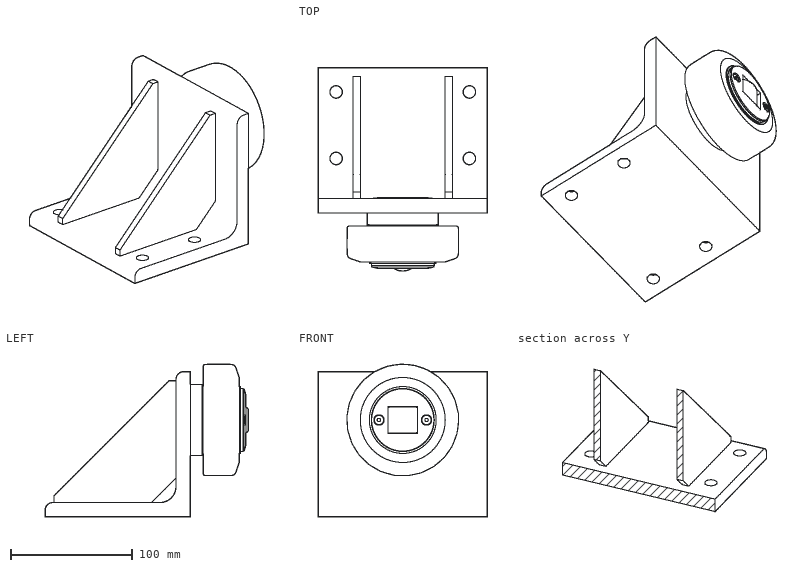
import cadquery as cq
import math

bracket_width = 140.0
leg_length = 120.0
leg_thickness = 12.0
inner_corner_radius = 13.0
leg_tip_radius = 6.5

rib_thickness = 6.0
rib_outer_face = 41.0
rib_end = 112.5
rib_corner = 17.5
rib_inner_relief = 20.0

hole_diameter = 10.0
hole_spacing_x = 110.0
hole_near_y = 45.0
hole_far_y = 100.0

axis_height = 80.0
hub_radius = 59.0 / 2
neck_radius = 55.5 / 2
neck_start = 9.7
roller_back = 10.5
roller_front = 40.5
roller_crown_radius = 46.2
roller_edge_radius = 46.0
tread_start = 12.6
tread_end = 33.6
back_round = tread_start - roller_back
front_round_mid = 36.1
front_round_mid_radius = 45.2
front_round_end = 37.6
front_round_end_radius = 43.5
front_face_radius = 35.1

ring_radius = 55.3 / 2
ring_front = 41.5
cap_radius = 52 / 2
cap_step = 43.3
cap_step_radius = 25.7
cap_bevel_start = 44.5
cap_front = 45.9
cap_face_radius = 21.0

weld_face_radius = 19.8
weld_height = 0.8

window_width = 24.0
window_height = 22.2
window_floor = 34.3
side_roller_tip = 48.0
side_roller_radius = side_roller_tip - window_floor
side_roller_crown = 0.2
side_roller_edge_radius = side_roller_radius - side_roller_crown
side_roller_length = 21.2
side_roller_round = 2.4

screw_offset = 19.7
screw_recess_diameter = 8.5
screw_head_diameter = 7.7
screw_recess_depth = 2.0
screw_head_height = 1.0
screw_socket_diameter = 2.9


def forward_cylinder(x, start, end, diameter):
    """Cylinder along -Y at the roller height, between two forward distances."""
    base = cq.Workplane("XZ", origin=(x, -start, axis_height))
    return base.circle(diameter / 2).extrude(end - start)


def make_bracket():
    profile = (
        cq.Workplane("YZ")
        .moveTo(0, 0)
        .lineTo(leg_length, 0)
        .lineTo(leg_length, leg_thickness)
        .lineTo(leg_thickness, leg_thickness)
        .lineTo(leg_thickness, leg_length)
        .lineTo(0, leg_length)
        .close()
        .extrude(bracket_width / 2, both=True)
    )
    inner_edge = cq.selectors.NearestToPointSelector((0, leg_thickness, leg_thickness))
    bracket = profile.edges(inner_edge).fillet(inner_corner_radius)
    for tip in ((0, leg_length, leg_thickness), (0, leg_thickness, leg_length)):
        bracket = bracket.edges(cq.selectors.NearestToPointSelector(tip)).fillet(leg_tip_radius)
    holes = (
        cq.Workplane("XY")
        .pushPoints([(side * hole_spacing_x / 2, y) for side in (-1, 1) for y in (hole_near_y, hole_far_y)])
        .circle(hole_diameter / 2)
        .extrude(leg_thickness)
    )
    return bracket.cut(holes)


def make_rib(start_x):
    relief_end = leg_thickness + rib_inner_relief
    return (
        cq.Workplane("YZ", origin=(start_x, 0, 0))
        .moveTo(relief_end, leg_thickness)
        .lineTo(rib_end, leg_thickness)
        .lineTo(rib_end, rib_corner)
        .lineTo(rib_corner, rib_end)
        .lineTo(leg_thickness, rib_end)
        .lineTo(leg_thickness, relief_end)
        .close()
        .extrude(rib_thickness)
    )


def make_turned_body():
    back_face_radius = roller_edge_radius - back_round
    arc_offset = back_round * math.sqrt(0.5)
    weld_back = leg_thickness + weld_height
    return (
        cq.Workplane("XY", origin=(0, 0, axis_height))
        .moveTo(0, weld_back)
        .lineTo(weld_face_radius, weld_back)
        .lineTo(cap_radius, leg_thickness)
        .lineTo(cap_radius, 0)
        .lineTo(hub_radius, 0)
        .lineTo(hub_radius, -neck_start)
        .lineTo(neck_radius, -neck_start)
        .lineTo(neck_radius, -roller_back)
        .lineTo(back_face_radius, -roller_back)
        .threePointArc(
            (back_face_radius + arc_offset, -tread_start + arc_offset),
            (roller_edge_radius, -tread_start),
        )
        .threePointArc(
            (roller_crown_radius, -(tread_start + tread_end) / 2),
            (roller_edge_radius, -tread_end),
        )
        .threePointArc(
            (front_round_mid_radius, -front_round_mid),
            (front_round_end_radius, -front_round_end),
        )
        .lineTo(front_face_radius, -roller_front)
        .lineTo(ring_radius, -roller_front)
        .lineTo(ring_radius, -ring_front)
        .lineTo(cap_radius, -ring_front)
        .lineTo(cap_radius, -cap_step)
        .lineTo(cap_step_radius, -cap_step)
        .lineTo(cap_step_radius, -cap_bevel_start)
        .lineTo(cap_face_radius, -cap_front)
        .lineTo(0, -cap_front)
        .close()
        .revolve(360, (0, 0, 0), (0, 1, 0))
    )


def make_window():
    floor = cq.Workplane("XZ", origin=(0, -window_floor, axis_height))
    return floor.rect(window_width, window_height).extrude(side_roller_tip - window_floor)


def make_side_roller():
    half_length = side_roller_length / 2
    roller = (
        cq.Workplane("XZ", origin=(0, -window_floor, axis_height))
        .moveTo(0, -half_length)
        .lineTo(side_roller_edge_radius, -half_length)
        .threePointArc((side_roller_radius, 0), (side_roller_edge_radius, half_length))
        .lineTo(0, half_length)
        .close()
        .revolve(360, (0, 0, 0), (0, 1, 0))
        .faces("<Z or >Z")
        .edges()
        .fillet(side_roller_round)
    )
    return roller.intersect(make_window())


def add_screw(body, x):
    recess_floor = cap_front - screw_recess_depth
    head_top = recess_floor + screw_head_height
    recess = forward_cylinder(x, recess_floor, cap_front, screw_recess_diameter)
    head = forward_cylinder(x, recess_floor, head_top, screw_head_diameter)
    socket = forward_cylinder(x, recess_floor, head_top, screw_socket_diameter)
    return body.cut(recess).union(head.cut(socket))


roller_unit = make_turned_body().cut(make_window()).union(make_side_roller())
for side in (-1, 1):
    roller_unit = add_screw(roller_unit, side * screw_offset)

result = make_bracket()
for rib_start in (-rib_outer_face, rib_outer_face - rib_thickness):
    result = result.union(make_rib(rib_start))
result = result.union(roller_unit)